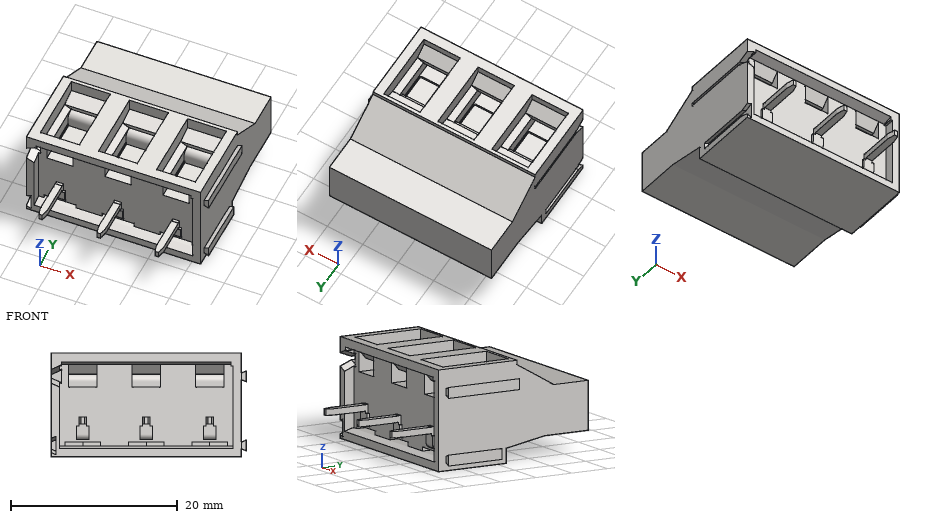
import cadquery as cq
import math


POLE_COUNT = 3
POLE_PITCH = 7.62
WIDTH = POLE_COUNT * POLE_PITCH
DEPTH = 21.0
HEIGHT = 12.5
TOP_DEPTH = 11.0
TOP_STEP = 0.55
TOP_SLOPE = 30.0
FOOT_DEPTH = 9.5
FOOT_HEIGHT = 1.85
REAR_BOTTOM = 2.8
REAR_TOP = 8.95
BOTTOM_SLOPE = 10.0

WALL = 1.03
RECESS_DEPTH = 1.35
CEILING_FRONT = 11.4
CEILING_BACK = 11.13
FLOOR_FRONT = WALL
FLOOR_BACK = 1.34
FLOOR_SLOPE_LENGTH = 1.07
CORNER_STEP_WIDTH = 0.25
CORNER_STEP_BOTTOM = 10.95

POCKET_WIDTH = 5.1
POCKET_FRONT = RECESS_DEPTH
POCKET_BACK = 10.55
POCKET_BACK_EDGE = 10.95
POCKET_FRONT_EDGE = 11.5
FUNNEL_TOP = 10.48
FUNNEL_BOTTOM = 10.0
FUNNEL_FRONT = 2.85
FUNNEL_BACK = 8.52
CHAMBER_WIDTH = 3.42
CHAMBER_FLOOR = 8.4
RAMP_UNDERSIDE = 9.95
RAMP_EDGE_THICKNESS = 0.5
SPRING_FRONT = 7.58
SPRING_TOP = 9.9
SPRING_RADIUS = 0.85
SPRING_GAP_BACK = 9.6
PLATE_WIDTH = 3.2
PLATE_FRONT = 3.72
PLATE_RECESS = 0.3
PLATE_CORNER = 0.2

PIN_WIDTH = 0.92
PIN_BOTTOM = 3.98
PIN_TOP = 4.77
NECK_TOP = 4.81
PIN_LENGTH = 4.4
PIN_TIP_LENGTH = 1.0
PIN_TIP_WIDTH = 0.44
LUG_WIDTH = 1.5
LUG_BOTTOM = 2.08
LUG_TOP = 3.72
LUG_BEND_RADIUS = 0.6
LUG_PROJECTION = 0.35
LUG_FRONT = RECESS_DEPTH - LUG_PROJECTION
CONTACT_EMBED = 1.0
CONTACT_BACK = RECESS_DEPTH + CONTACT_EMBED

SLOT_WIDTH = 4.22
SLOT_HEIGHT = 0.48
SLOT_DEPTH = 2.0
SLOT_BACK_ANGLE = 30.0

RAIL_REACH = 0.6
RAIL_BASE_HALF = 0.42
RAIL_OUTER_HALF = 0.67
RAIL_START = 1.05
UPPER_Z = 9.68
UPPER_END = TOP_DEPTH
UPPER_DEPTH = 1.26
UPPER_MOUTH_HALF = 0.2
UPPER_INNER_HALF = 0.76
UPPER_FLARE_LENGTH = 1.6
UPPER_FLARE_GROWTH = 0.62
LOWER_Z = 1.38
LOWER_END = 8.55
LOWER_DEPTH = 0.6
LOWER_MOUTH_HALF = 0.43
LOWER_INNER_HALF = 0.68
LOWER_FLARE_LENGTH = 1.05
LOWER_FLARE_GROWTH = 0.42


def box(x_range, y_range, z_range):
    """Axis-aligned box between three pairs of limits."""
    (x0, x1), (y0, y1), (z0, z1) = x_range, y_range, z_range
    return cq.Workplane("XY").box(x1 - x0, y1 - y0, z1 - z0, centered=False).translate((x0, y0, z0))


def along_x(outline, x_start, length):
    """Prism along +X from a closed (y, z) outline."""
    return cq.Workplane("YZ", origin=(x_start, 0, 0)).polyline(outline).close().extrude(length)


def along_y(outline, y_start, y_end):
    """Prism along +Y from a closed (x, z) outline."""
    return cq.Workplane("XZ", origin=(0, y_start, 0)).polyline(outline).close().extrude(y_start - y_end)


def along_z(outline, z_start, height):
    """Prism along +Z from a closed (x, y) outline."""
    return cq.Workplane("XY", origin=(0, 0, z_start)).polyline(outline).close().extrude(height)


def centered(middle, size):
    return (middle - size / 2, middle + size / 2)


def make_housing():
    step_z = HEIGHT - TOP_STEP
    top_slope_end = TOP_DEPTH + (step_z - REAR_TOP) / math.tan(math.radians(TOP_SLOPE))
    bottom_slope_end = FOOT_DEPTH + (REAR_BOTTOM - FOOT_HEIGHT) / math.tan(math.radians(BOTTOM_SLOPE))
    outline = [
        (0, 0),
        (FOOT_DEPTH, 0),
        (FOOT_DEPTH, FOOT_HEIGHT),
        (bottom_slope_end, REAR_BOTTOM),
        (DEPTH, REAR_BOTTOM),
        (DEPTH, REAR_TOP),
        (top_slope_end, REAR_TOP),
        (TOP_DEPTH, step_z),
        (TOP_DEPTH, HEIGHT),
        (0, HEIGHT),
    ]
    return along_x(outline, 0, WIDTH)


def make_recess():
    """Shallow tray in the pin face, with sloped floor and ceiling and stepped upper corners."""
    outline = [
        (0, FLOOR_FRONT),
        (FLOOR_SLOPE_LENGTH, FLOOR_BACK),
        (RECESS_DEPTH, FLOOR_BACK),
        (RECESS_DEPTH, CEILING_BACK),
        (0, CEILING_FRONT),
    ]
    recess = along_x(outline, WALL, WIDTH - 2 * WALL)
    for x in (WALL, WIDTH - WALL - CORNER_STEP_WIDTH):
        corner = box((x, x + CORNER_STEP_WIDTH), (0, RECESS_DEPTH), (CORNER_STEP_BOTTOM, HEIGHT))
        recess = recess.cut(corner)
    return recess


def make_pocket(pole_x):
    """Open top pocket that funnels down into the clamp chamber."""
    outline = [
        (POCKET_FRONT, HEIGHT),
        (POCKET_FRONT, POCKET_FRONT_EDGE),
        (FUNNEL_FRONT, FUNNEL_TOP),
        (FUNNEL_BACK, FUNNEL_TOP),
        (POCKET_BACK, POCKET_BACK_EDGE),
        (POCKET_BACK, HEIGHT),
    ]
    pocket = along_x(outline, pole_x - POCKET_WIDTH / 2, POCKET_WIDTH)
    funnel_outline = [
        (pole_x - POCKET_WIDTH / 2, FUNNEL_TOP),
        (pole_x - CHAMBER_WIDTH / 2, FUNNEL_BOTTOM),
        (pole_x + CHAMBER_WIDTH / 2, FUNNEL_BOTTOM),
        (pole_x + POCKET_WIDTH / 2, FUNNEL_TOP),
    ]
    return pocket.union(along_y(funnel_outline, FUNNEL_FRONT, FUNNEL_BACK))


def make_chamber(pole_x):
    """Clamp chamber, open to the recess through a window and closed by the rounded spring."""
    spring_back = SPRING_FRONT + SPRING_RADIUS
    spring_shoulder = SPRING_TOP - SPRING_RADIUS
    arc_offset = SPRING_RADIUS * (1 - math.sqrt(0.5))
    chamber = (
        cq.Workplane("YZ", origin=(pole_x - CHAMBER_WIDTH / 2, 0, 0))
        .moveTo(RECESS_DEPTH, CHAMBER_FLOOR)
        .lineTo(SPRING_FRONT, CHAMBER_FLOOR)
        .lineTo(SPRING_FRONT, spring_shoulder)
        .threePointArc((SPRING_FRONT + arc_offset, SPRING_TOP - arc_offset), (spring_back, SPRING_TOP))
        .lineTo(SPRING_GAP_BACK, SPRING_TOP)
        .lineTo(SPRING_GAP_BACK, FUNNEL_BOTTOM)
        .lineTo(FUNNEL_FRONT, FUNNEL_BOTTOM)
        .lineTo(FUNNEL_FRONT, RAMP_UNDERSIDE)
        .lineTo(FUNNEL_FRONT - RAMP_EDGE_THICKNESS, RAMP_UNDERSIDE)
        .lineTo(RECESS_DEPTH, CEILING_BACK)
        .close()
        .extrude(CHAMBER_WIDTH)
    )
    plate_seat = box(
        centered(pole_x, PLATE_WIDTH),
        (PLATE_FRONT, SPRING_FRONT),
        (CHAMBER_FLOOR - PLATE_RECESS, CHAMBER_FLOOR),
    )
    return chamber.union(plate_seat.edges("|Z and <Y").fillet(PLATE_CORNER))


def make_slot(pole_x):
    """Flat slot above the recess floor; the right half of its back wall slants away."""
    left, right = centered(pole_x, SLOT_WIDTH)
    back = RECESS_DEPTH + SLOT_DEPTH
    slant = SLOT_WIDTH / 2 * math.tan(math.radians(SLOT_BACK_ANGLE))
    outline = [
        (left, RECESS_DEPTH),
        (right, RECESS_DEPTH),
        (right, back + slant),
        (pole_x, back),
        (left, back),
    ]
    return along_z(outline, FLOOR_BACK, SLOT_HEIGHT)


def make_lug_relief(pole_x):
    """Opening in the recess wall that lets the bend of the lug pass."""
    return box(centered(pole_x, LUG_WIDTH), (RECESS_DEPTH, CONTACT_BACK), (LUG_BOTTOM, LUG_TOP))


def make_contact(pole_x):
    """Bent lug on the recess wall carrying a tapered solder pin."""
    lug = box(centered(pole_x, LUG_WIDTH), (LUG_FRONT, CONTACT_BACK), (LUG_BOTTOM, LUG_TOP))
    lug = lug.edges("|X and <Y and <Z").fillet(LUG_BEND_RADIUS)
    neck = box(centered(pole_x, PIN_WIDTH), (LUG_FRONT, CONTACT_BACK), (LUG_TOP, NECK_TOP))
    taper_start = PIN_TIP_LENGTH - PIN_LENGTH
    outline = [
        (pole_x - PIN_WIDTH / 2, CONTACT_BACK),
        (pole_x - PIN_WIDTH / 2, taper_start),
        (pole_x - PIN_TIP_WIDTH / 2, -PIN_LENGTH),
        (pole_x + PIN_TIP_WIDTH / 2, -PIN_LENGTH),
        (pole_x + PIN_WIDTH / 2, taper_start),
        (pole_x + PIN_WIDTH / 2, CONTACT_BACK),
    ]
    return along_z(outline, PIN_BOTTOM, PIN_TOP - PIN_BOTTOM).union(neck).union(lug)


def dovetail_outline(x_mouth, depth, z_middle, mouth_half, inner_half):
    """Trapezoid in (x, z) that widens from mouth_half to inner_half over the depth."""
    return [
        (x_mouth, z_middle - mouth_half),
        (x_mouth + depth, z_middle - inner_half),
        (x_mouth + depth, z_middle + inner_half),
        (x_mouth, z_middle + mouth_half),
    ]


def make_rail(z_middle, y_end):
    outline = dovetail_outline(WIDTH, RAIL_REACH, z_middle, RAIL_BASE_HALF, RAIL_OUTER_HALF)
    return along_y(outline, RAIL_START, y_end)


def make_groove(z_middle, y_end, depth, mouth_half, inner_half, flare_length, flare_growth):
    """Dovetail groove in the left side whose lead-in widens towards the pin face."""
    narrow = dovetail_outline(0, depth, z_middle, mouth_half, inner_half)
    wide = dovetail_outline(0, depth, z_middle, mouth_half + flare_growth, inner_half + flare_growth)
    lead_in = (
        cq.Workplane("XZ")
        .polyline(wide)
        .close()
        .workplane(offset=-flare_length)
        .polyline(narrow)
        .close()
        .loft(ruled=True)
    )
    return along_y(narrow, flare_length, y_end).union(lead_in)


pole_centers = [POLE_PITCH * (i + 0.5) for i in range(POLE_COUNT)]

upper_groove = make_groove(
    UPPER_Z,
    UPPER_END,
    UPPER_DEPTH,
    UPPER_MOUTH_HALF,
    UPPER_INNER_HALF,
    UPPER_FLARE_LENGTH,
    UPPER_FLARE_GROWTH,
)
lower_groove = make_groove(
    LOWER_Z,
    LOWER_END,
    LOWER_DEPTH,
    LOWER_MOUTH_HALF,
    LOWER_INNER_HALF,
    LOWER_FLARE_LENGTH,
    LOWER_FLARE_GROWTH,
)

result = make_housing().cut(make_recess()).cut(upper_groove).cut(lower_groove)
result = result.union(make_rail(UPPER_Z, UPPER_END)).union(make_rail(LOWER_Z, LOWER_END))
for pole_center in pole_centers:
    result = result.cut(make_pocket(pole_center))
    result = result.cut(make_chamber(pole_center))
    result = result.cut(make_slot(pole_center))
    result = result.cut(make_lug_relief(pole_center))
    result = result.union(make_contact(pole_center))